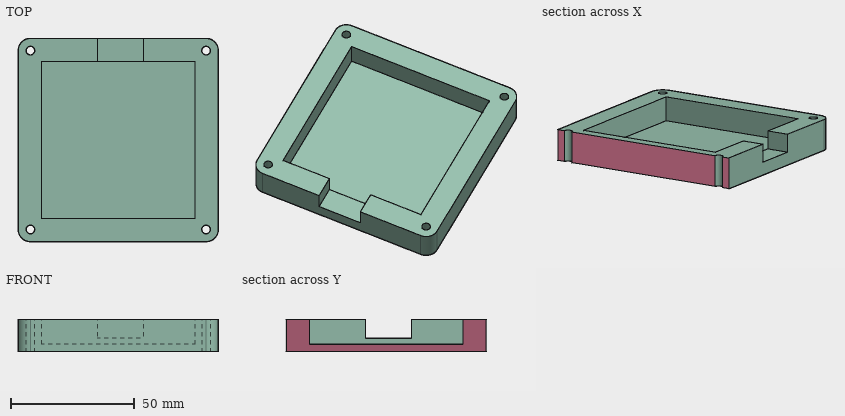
import cadquery as cq

length_x = 81.12
length_y = 82.41
height = 13.0
corner_radius = 5.0

wall = 9.5
floor_thickness = 3.0
pocket_x = length_x - 2 * wall
pocket_y = length_y - 2 * wall
pocket_depth = height - floor_thickness

notch_width = 18.5
notch_offset_x = 0.9
notch_depth = 7.5

hole_diameter = 3.4
hole_spacing_x = length_x - 2 * corner_radius
hole_spacing_y = length_y - 2 * corner_radius


def make_block():
    """Solid block standing on Z = 0 with rounded vertical edges."""
    block = cq.Workplane("XY").box(length_x, length_y, height, centered=(True, True, False))
    return block.edges("|Z").fillet(corner_radius)


def cut_pocket(body):
    """Sink the rectangular pocket from the top face."""
    return body.faces(">Z").workplane(origin=(0, 0, height)).rect(pocket_x, pocket_y).cutBlind(-pocket_depth)


def cut_notch(body):
    """Open the +Y wall from the pocket to the outside."""
    notch = cq.Workplane("XY").box(notch_width, wall, notch_depth)
    notch_center = (notch_offset_x, (length_y - wall) / 2, height - notch_depth / 2)
    return body.cut(notch.translate(notch_center))


def drill_corner_holes(body):
    """Drill one through hole in each corner."""
    top = body.faces(">Z").workplane(origin=(0, 0, height))
    return top.rect(hole_spacing_x, hole_spacing_y, forConstruction=True).vertices().hole(hole_diameter)


result = drill_corner_holes(cut_notch(cut_pocket(make_block())))